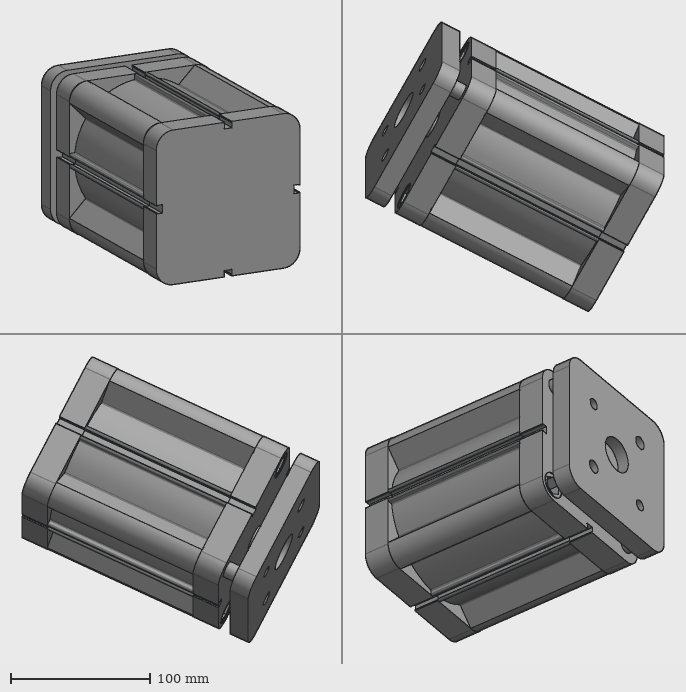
import cadquery as cq
import math

TOTAL_LENGTH = 181.0
SIDE = 116.0
HALF_SIDE = SIDE / 2

PLATE_THICKNESS = 14.5
GAP = 9.5
CAP_LENGTH = 20.3
HOUSING_START = PLATE_THICKNESS + GAP
BARREL_START = HOUSING_START + CAP_LENGTH
REAR_CAP_START = TOTAL_LENGTH - CAP_LENGTH
BARREL_LENGTH = REAR_CAP_START - BARREL_START
CORNER_RADIUS = 13.5

PLATE_HOLE_OFFSET = 28.2
LARGE_HOLE_DIAMETER = 10.1
SMALL_HOLE_DIAMETER = 8.5
PLATE_RECESS_DIAMETER = 28.0
PLATE_RECESS_DEPTH = 9.0

PISTON_ROD_DIAMETER = 20.0
FLATS_WIDTH = 17.0
FLATS_LENGTH = 8.9
GUIDE_ROD_DIAMETER = 12.1
CORNER_OFFSET = 44.2
ROD_LENGTH = GAP + CAP_LENGTH

TUBE_RADIUS = 54.0
BOSS_RADIUS = 14.5
BOSS_CENTER_OFFSET = HALF_SIDE - BOSS_RADIUS
BOSS_WIDTH = 21.0
INNER_FILLET = 0.7

RAIL_WIDTH = 10.9
RAIL_EDGE_RADIUS = 1.0
SLOT_OPENING = 5.6
CAP_SLOT_CAVITY = 6.3
CAP_SLOT_LIP = 1.0
CAP_SLOT_DEPTH = 4.9
BARREL_SLOT_CAVITY = 6.0
BARREL_SLOT_LIP = 1.8
BARREL_SLOT_DEPTH = 5.0
SLOT_EDGE_RADIUS = 0.9

SEAT_DIAMETER = 20.0
SEAT_DEPTH = 0.7
HEXAGON_SIDES = 6
HEXAGON_TURN = 30
SOCKET_ACROSS_FLATS = 13.4
SOCKET_DEPTH = 8.5

TOLERANCE = 0.02

SIDE_ANGLES = (0, 90, 180, 270)
CORNER_ANGLES = (45, 135, 225, 315)
GUIDE_CORNERS = [(CORNER_OFFSET, CORNER_OFFSET), (-CORNER_OFFSET, -CORNER_OFFSET)]
SCREW_CORNERS = [(-CORNER_OFFSET, CORNER_OFFSET), (CORNER_OFFSET, -CORNER_OFFSET)]


def section(x):
    """Workplane across the axis at x: local x is Y, local y is Z, extruding toward +X."""
    return cq.Workplane("YZ", origin=(x, 0, 0))


def rounded_block(x, length):
    return section(x).rect(SIDE, SIDE).extrude(length).edges("|X").fillet(CORNER_RADIUS)


def turned(shape, angle):
    return shape.rotate((0, 0, 0), (1, 0, 0), angle)


def make_plate():
    offset = PLATE_HOLE_OFFSET
    plate = rounded_block(0, PLATE_THICKNESS)
    large_holes = section(0).pushPoints([(-offset, offset), (offset, -offset)])
    large_holes = large_holes.circle(LARGE_HOLE_DIAMETER / 2).extrude(PLATE_THICKNESS)
    small_holes = section(0).pushPoints([(offset, offset), (-offset, -offset)])
    small_holes = small_holes.circle(SMALL_HOLE_DIAMETER / 2).extrude(PLATE_THICKNESS)
    recess = section(0).circle(PLATE_RECESS_DIAMETER / 2).extrude(PLATE_RECESS_DEPTH)
    return plate.cut(large_holes).cut(small_holes).cut(recess)


def make_piston_rod():
    """Round rod with two wrench flats facing -Y and +Y next to the plate."""
    rod = section(PLATE_THICKNESS + FLATS_LENGTH).circle(PISTON_ROD_DIAMETER / 2)
    rod = rod.extrude(ROD_LENGTH - FLATS_LENGTH)
    flat_end = section(PLATE_THICKNESS).circle(PISTON_ROD_DIAMETER / 2).extrude(FLATS_LENGTH)
    flats = section(PLATE_THICKNESS).rect(FLATS_WIDTH, PISTON_ROD_DIAMETER).extrude(FLATS_LENGTH)
    return rod.union(flat_end.intersect(flats))


def make_guide_rod(corner):
    return section(PLATE_THICKNESS).center(*corner).circle(GUIDE_ROD_DIAMETER / 2).extrude(ROD_LENGTH)


def make_corner_boss():
    """Parallel-sided web from the axis out along +Y, closed by an arc."""
    half_width = BOSS_WIDTH / 2
    center = BOSS_CENTER_OFFSET * math.sqrt(2)
    arc_start = center + math.sqrt(BOSS_RADIUS**2 - half_width**2)
    outline = (
        section(BARREL_START)
        .moveTo(0, -half_width)
        .lineTo(arc_start, -half_width)
        .threePointArc((center + BOSS_RADIUS, 0), (arc_start, half_width))
        .lineTo(0, half_width)
        .close()
    )
    return outline.extrude(BARREL_LENGTH)


def make_rail():
    """Web from the axis out along +Y, with rounded outer edges."""
    rail = section(BARREL_START).center(HALF_SIDE / 2, 0).rect(HALF_SIDE, RAIL_WIDTH)
    return rail.extrude(BARREL_LENGTH).edges("|X and >Y").fillet(RAIL_EDGE_RADIUS)


def on_tube_surface(edge):
    middle = edge.Center()
    return abs(math.hypot(middle.y, middle.z) - TUBE_RADIUS) < TOLERANCE


def make_barrel():
    barrel = section(BARREL_START).circle(TUBE_RADIUS).extrude(BARREL_LENGTH)
    for angle in CORNER_ANGLES:
        barrel = barrel.union(turned(make_corner_boss(), angle))
    for angle in SIDE_ANGLES:
        barrel = barrel.union(turned(make_rail(), angle))
    return barrel.edges("|X").filter(on_tube_surface).fillet(INNER_FILLET)


def make_slot(x, length, depth, lip, cavity_width):
    """Cutter for one stretch of the +Y slot, wider below its lips than at the opening."""
    floor = HALF_SIDE - depth
    cavity_depth = depth - lip
    opening = section(x).center(floor + depth / 2, 0).rect(depth, SLOT_OPENING).extrude(length)
    cavity = section(x).center(floor + cavity_depth / 2, 0).rect(cavity_depth, cavity_width)
    return opening.union(cavity.extrude(length))


def make_slot_rounding():
    """Cutter that rounds both lips of the +Y slot along the barrel."""
    inner = SLOT_OPENING / 2
    outer = inner + SLOT_EDGE_RADIUS
    root = HALF_SIDE - SLOT_EDGE_RADIUS
    cutter = section(BARREL_START).center(HALF_SIDE - SLOT_EDGE_RADIUS / 2, 0)
    cutter = cutter.rect(SLOT_EDGE_RADIUS, 2 * outer).extrude(BARREL_LENGTH)
    lips = section(BARREL_START).pushPoints([(root, outer), (root, -outer)])
    return cutter.cut(lips.circle(SLOT_EDGE_RADIUS).extrude(BARREL_LENGTH))


def make_screw_socket(corner):
    vertex_diameter = SOCKET_ACROSS_FLATS / math.cos(math.pi / HEXAGON_SIDES)
    seat = section(HOUSING_START).center(*corner).circle(SEAT_DIAMETER / 2).extrude(SEAT_DEPTH)
    socket = section(HOUSING_START).center(*corner).transformed(rotate=(0, 0, HEXAGON_TURN))
    return seat.union(socket.polygon(HEXAGON_SIDES, vertex_diameter).extrude(SOCKET_DEPTH))


def make_housing(rods):
    """Barrel between two caps, bored to fit the rods."""
    cap_starts = (HOUSING_START, REAR_CAP_START)
    slots = [make_slot(x, CAP_LENGTH, CAP_SLOT_DEPTH, CAP_SLOT_LIP, CAP_SLOT_CAVITY) for x in cap_starts]
    slots.append(
        make_slot(BARREL_START, BARREL_LENGTH, BARREL_SLOT_DEPTH, BARREL_SLOT_LIP, BARREL_SLOT_CAVITY)
    )
    slots.append(make_slot_rounding())

    housing = make_barrel()
    for x in cap_starts:
        housing = housing.union(rounded_block(x, CAP_LENGTH))
    for angle in SIDE_ANGLES:
        for slot in slots:
            housing = housing.cut(turned(slot, angle))
    for corner in SCREW_CORNERS:
        housing = housing.cut(make_screw_socket(corner))
    for rod in rods:
        housing = housing.cut(rod)
    return housing


plate = make_plate()
piston_rod = make_piston_rod()
guide_rods = [make_guide_rod(corner) for corner in GUIDE_CORNERS]
housing = make_housing([piston_rod, *guide_rods])

result = cq.Compound.makeCompound(
    [plate.val(), piston_rod.val(), *[rod.val() for rod in guide_rods], housing.val()]
)